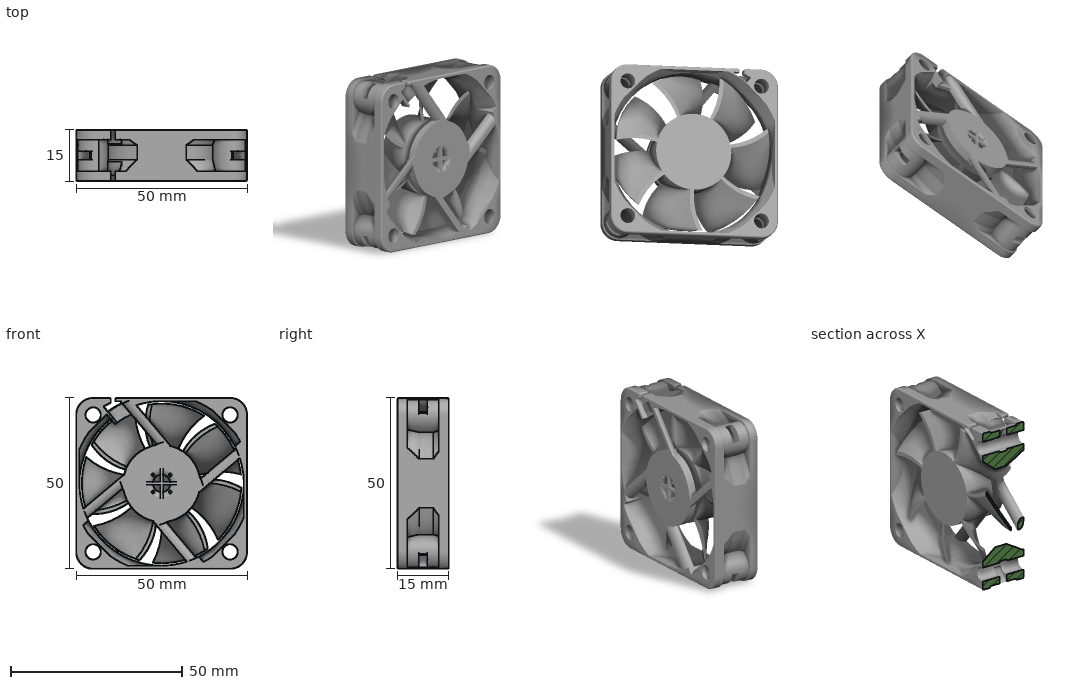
import cadquery as cq
import math

SIDE = 50.0
DEPTH = 15.0
CORNER_RADIUS = 5.0
EDGE_ROUND = 0.5
FRONT = -DEPTH / 2
BACK = DEPTH / 2
REACH = SIDE
QUARTER_TURN = 90.0
CORNER_COUNT = 4
FIRST_CORNER = 45.0

BORE_RADIUS = 24.0
MOUTH_RADIUS = 26.0
TUBE_WALL = 2.0
FRONT_FLARE_START = -1.2
BACK_FLARE_START = 3.0
MOUTH_DIAGONAL_HALF = 25.6

FLANGE_THICKNESS = 2.9
SCREW_OFFSET = 20.0
SCREW_DIAMETER = 4.4
BOSS_RADIUS = 4.5
NOTCH_WIDTH = 5.6
NOTCH_HEIGHT = 2.5
NOTCH_PAST_HOLE = 1.45

PLATE_RADIUS = 11.25
PLATE_THICKNESS = 2.35
STRUT_COUNT = 4
STRUT_ANGLE = 130.0
STRUT_OUTER = 9.05
STRUT_FLAT = 8.15
STRUT_INNER = 6.2
STRUT_SIDE_WALL = 0.4
PLATE_TIP_RADIUS = 12.1
PAD_OFFSET = 5.4
PAD_END = -0.7

GRILLE_RADIUS = 4.3
GRILLE_BORE_RADIUS = 2.55
GRILLE_BAR_WIDTH = 0.9
GRILLE_BAR_DEPTH = 1.1
PEG_COUNT = 4
PEG_SIDE = 0.7
PEG_CIRCLE_RADIUS = 3.55

CHANNEL_OFFSET = 1.45
RIB_THICKNESS = 0.75
CHANNEL_FLOOR_Y = -5.85
CHANNEL_FLOOR_THICKNESS = 1.0
CHANNEL_INNER_RADIUS = 22.0
CHANNEL_START = 20.0
CHANNEL_OUTER_RADIUS = 26.2
SLOT_LEFT = -14.85
SLOT_RIGHT = -13.55
SLOT_BOTTOM = 22.5
CHANNEL_CEILING = 24.0
CHANNEL_SHOULDER = 23.55
CHANNEL_WALL_TOP = 22.45

ROTOR_FRONT = -3.0
ROTOR_BACK = 6.2
HUB_RADIUS = 11.25
ROTOR_RADIUS = 23.35
BLADE_COUNT = 7
BLADE_TWIST = 39.0
BLADE_LEADING = [(10.5, 159.0), (16.75, 157.9), (24.0, 150.3)]
BLADE_TRAILING = [(24.0, 147.6), (16.5, 153.6), (10.5, 154.0)]


def extrude_y(outline, y_start, y_end):
    """Extrude a closed outline drawn in X and Z between two Y levels."""
    return outline.extrude(y_start - y_end).translate((0, y_start, 0))


def sketch():
    return cq.Workplane("XZ")


def cylinder(radius, y_start, y_end):
    return extrude_y(sketch().circle(radius), y_start, y_end)


def polygon(points, y_start, y_end):
    return extrude_y(sketch().polyline(points).close(), y_start, y_end)


def turned(shape, angle):
    """Turn a shape about the fan axis, from +X towards +Z."""
    return shape.rotate((0, 0, 0), (0, 1, 0), -angle)


def polar(radius, angle):
    return (radius * math.cos(math.radians(angle)), radius * math.sin(math.radians(angle)))


def strut_bar(inner, outer, start, end, y_start, y_end):
    """A bar along the first strut: offsets from the axis, then distances along the strut."""
    corners = [(start, -inner), (end, -inner), (end, -outer), (start, -outer)]
    return turned(polygon(corners, y_start, y_end), STRUT_ANGLE)


def along_strut(offset, distance):
    """X and Z of the point at an offset from the first strut's axis line and a distance along it."""
    angle = math.radians(STRUT_ANGLE)
    return (
        offset * math.sin(angle) + distance * math.cos(angle),
        distance * math.sin(angle) - offset * math.cos(angle),
    )


def on_strut_line(offset, height):
    """X and Z of the point at the given Z on a line parallel to the first strut."""
    angle = math.radians(STRUT_ANGLE)
    return ((offset + height * math.cos(angle)) / math.sin(angle), height)


def flared(radius, mouth_radius):
    """Straight tube outline that opens out to both faces."""
    profile = [
        (0, FRONT), (mouth_radius, FRONT), (radius, FRONT_FLARE_START),
        (radius, BACK_FLARE_START), (mouth_radius, BACK), (0, BACK),
    ]
    return cq.Workplane("XY").polyline(profile).close().revolve(360, (0, 0, 0), (0, 1, 0))


def outer_block():
    """Square block with the wire slot in its top side and rounded rims."""
    slot = (
        cq.Workplane("XY")
        .box(SLOT_RIGHT - SLOT_LEFT, DEPTH, SIDE / 2 - SLOT_BOTTOM)
        .translate(((SLOT_LEFT + SLOT_RIGHT) / 2, 0, (SIDE / 2 + SLOT_BOTTOM) / 2))
    )
    block = cq.Workplane("XY").box(SIDE, DEPTH, SIDE).edges("|Y").fillet(CORNER_RADIUS).cut(slot)
    mouth = cq.selectors.BoxSelector(
        (SLOT_LEFT - EDGE_ROUND, FRONT, SIDE / 2 - EDGE_ROUND),
        (SLOT_RIGHT + EDGE_ROUND, BACK, SIDE / 2 + EDGE_ROUND),
    )
    block = block.edges("|Y").edges(mouth).fillet(EDGE_ROUND)
    return block.faces("<Y or >Y").edges().fillet(EDGE_ROUND)


def flange_gap():
    """Space between the flanges, outside the duct tube and the corner bosses."""
    half = BACK - FLANGE_THICKNESS
    gap = cq.Workplane("XY").box(2 * REACH, 2 * half, 2 * REACH)
    gap = gap.cut(flared(BORE_RADIUS + TUBE_WALL, MOUTH_RADIUS + TUBE_WALL))
    screw_distance = SCREW_OFFSET * math.sqrt(2)
    boss = cylinder(BOSS_RADIUS, -half, half).translate((screw_distance, 0, 0))
    web = cq.Workplane("XY").box(screw_distance, 2 * half, 2 * BOSS_RADIUS)
    boss = boss.union(web.translate((screw_distance / 2, 0, 0)))
    for corner in range(CORNER_COUNT):
        gap = gap.cut(turned(boss, FIRST_CORNER + QUARTER_TURN * corner))
    return gap


def flare_pads():
    """Places beside the struts where the front flare is left out."""
    pads = cq.Workplane("XY")
    for index in range(STRUT_COUNT):
        offset = CHANNEL_OFFSET - RIB_THICKNESS if index == 0 else PAD_OFFSET
        pad = polygon(
            [
                (PAD_END, PLATE_RADIUS), along_strut(offset, PLATE_RADIUS),
                along_strut(offset, REACH), (PAD_END, REACH),
            ],
            FRONT, FRONT_FLARE_START,
        )
        pads = pads.add(turned(pad, -QUARTER_TURN * index))
    return pads.combine()


def duct():
    """Air passage: a bore with a flare at each face, trimmed to an eight-sided mouth."""
    mouth = cq.Workplane("XY").box(2 * BORE_RADIUS, DEPTH, 2 * BORE_RADIUS)
    diagonal = cq.Workplane("XY").box(2 * MOUTH_DIAGONAL_HALF, DEPTH, 2 * MOUTH_DIAGONAL_HALF)
    flare = flared(BORE_RADIUS, MOUTH_RADIUS).intersect(mouth).intersect(turned(diagonal, FIRST_CORNER))
    return flare.cut(flare_pads()).union(cylinder(BORE_RADIUS, FRONT, BACK))


def screw_holes():
    holes = sketch().rect(2 * SCREW_OFFSET, 2 * SCREW_OFFSET, forConstruction=True).vertices()
    return extrude_y(holes.circle(SCREW_DIAMETER / 2), FRONT, BACK)


def corner_notch():
    """Notch that opens a screw hole towards the outer corner."""
    start = SCREW_OFFSET * math.sqrt(2) - NOTCH_PAST_HOLE
    return cq.Workplane("XY").box(REACH, NOTCH_HEIGHT, NOTCH_WIDTH).translate((start + REACH / 2, 0, 0))


def motor_plate():
    """Round plate with a pointed tip at each strut."""
    y_end = FRONT + PLATE_THICKNESS
    plate = cylinder(PLATE_RADIUS, FRONT, y_end)
    tip_angle = STRUT_ANGLE - math.degrees(math.asin(STRUT_FLAT / PLATE_TIP_RADIUS))
    tangent_angle = tip_angle + math.degrees(math.acos(PLATE_RADIUS / PLATE_TIP_RADIUS))
    tip = polygon(
        [
            (0, 0), along_strut(STRUT_FLAT, 0),
            polar(PLATE_TIP_RADIUS, tip_angle), polar(PLATE_RADIUS, tangent_angle),
        ],
        FRONT, y_end,
    )
    for index in range(STRUT_COUNT):
        plate = plate.union(turned(tip, -QUARTER_TURN * index))
    return plate


def strut_rounding():
    """Material in front of the rounded inner flank of the first strut."""
    radius = STRUT_FLAT - STRUT_INNER
    corner = strut_bar(STRUT_INNER, STRUT_FLAT, 0, REACH, FRONT, FRONT + radius)
    rod = cq.Workplane("YZ").center(FRONT + radius, -STRUT_FLAT).circle(radius).extrude(REACH)
    return corner.cut(turned(rod, STRUT_ANGLE))


def strut():
    """First strut: a bar with its front inner and back outer corners rounded alike."""
    y_end = FRONT + STRUT_FLAT - STRUT_INNER + STRUT_SIDE_WALL
    bar = strut_bar(STRUT_INNER, STRUT_OUTER, 0, REACH, FRONT, y_end)
    middle_offset = (STRUT_INNER + STRUT_OUTER) / 2
    start = along_strut(middle_offset, 0)
    end = along_strut(middle_offset, REACH)
    y_middle = (FRONT + y_end) / 2
    back_rounding = strut_rounding().rotate(
        (start[0], y_middle, start[1]), (end[0], y_middle, end[1]), 180
    )
    bar = bar.cut(strut_rounding()).cut(back_rounding)
    bar = bar.intersect(cq.Workplane("XY").box(2 * BORE_RADIUS, DEPTH, 2 * BORE_RADIUS))
    return bar.intersect(cylinder(BORE_RADIUS + TUBE_WALL / 2, FRONT, BACK))


def add_struts(frame):
    """Join the motor plate to the duct with the struts; the first one is clear out to the mouth radius."""
    frame = frame.cut(strut_rounding().intersect(cylinder(MOUTH_RADIUS, FRONT, BACK)))
    bar = strut()
    for index in range(STRUT_COUNT):
        frame = frame.union(turned(bar, -QUARTER_TURN * index))
    return frame.union(motor_plate()).clean()


def channel_floor():
    """Floor and side rib of the wire channel."""
    ring = cylinder(MOUTH_RADIUS, FRONT, BACK).cut(cylinder(CHANNEL_INNER_RADIUS, FRONT, BACK))
    bar = strut_bar(
        CHANNEL_OFFSET - RIB_THICKNESS, STRUT_INNER, CHANNEL_START, REACH,
        FRONT, CHANNEL_FLOOR_Y + CHANNEL_FLOOR_THICKNESS,
    )
    return bar.intersect(ring)


def wire_channel():
    """Recess above the channel floor, and the way out through both flanges."""
    outline = [
        (SLOT_LEFT, CHANNEL_SHOULDER),
        on_strut_line(CHANNEL_OFFSET, CHANNEL_WALL_TOP),
        along_strut(CHANNEL_OFFSET, CHANNEL_START),
        along_strut(STRUT_INNER, CHANNEL_START),
        on_strut_line(STRUT_INNER, CHANNEL_CEILING),
        (SLOT_RIGHT, CHANNEL_CEILING),
        (SLOT_RIGHT, CHANNEL_SHOULDER),
    ]
    outside = cylinder(REACH, FRONT, BACK).cut(cylinder(CHANNEL_OUTER_RADIUS, FRONT, BACK))
    recess = polygon(outline, FRONT, CHANNEL_FLOOR_Y)
    passage = polygon(outline, FRONT, BACK).intersect(outside)
    half = BACK - FLANGE_THICKNESS
    boss_trim = strut_bar(CHANNEL_OFFSET, STRUT_INNER, 0, REACH, -half, half)
    boss_trim = boss_trim.cut(flared(BORE_RADIUS + TUBE_WALL, MOUTH_RADIUS + TUBE_WALL))
    return recess, passage, boss_trim


def add_wire_channel(frame):
    frame = frame.union(channel_floor())
    for cutter in wire_channel():
        frame = frame.cut(cutter)
    return frame


def grille_opening():
    """Bore with a rounded entry, crossed by two bars and carrying four small pegs."""
    rounding = GRILLE_RADIUS - GRILLE_BORE_RADIUS
    y_end = FRONT + PLATE_THICKNESS
    arc_middle = polar(rounding, 180 + FIRST_CORNER)
    opening = (
        cq.Workplane("XY")
        .moveTo(0, FRONT)
        .lineTo(GRILLE_RADIUS, FRONT)
        .threePointArc(
            (GRILLE_RADIUS + arc_middle[0], FRONT + rounding + arc_middle[1]),
            (GRILLE_BORE_RADIUS, FRONT + rounding),
        )
        .lineTo(GRILLE_BORE_RADIUS, y_end)
        .lineTo(0, y_end)
        .close()
        .revolve(360, (0, 0, 0), (0, 1, 0))
    )
    bar = extrude_y(sketch().rect(REACH, GRILLE_BAR_WIDTH), FRONT, FRONT + GRILLE_BAR_DEPTH)
    opening = opening.cut(bar).cut(turned(bar, QUARTER_TURN))
    peg = extrude_y(sketch().rect(PEG_SIDE, PEG_SIDE), FRONT, y_end)
    peg = peg.translate((PEG_CIRCLE_RADIUS, 0, 0))
    for index in range(PEG_COUNT):
        opening = opening.cut(turned(peg, FIRST_CORNER + QUARTER_TURN * index))
    return opening


def make_frame():
    frame = outer_block().cut(flange_gap()).cut(duct()).cut(screw_holes())
    for corner in range(CORNER_COUNT):
        frame = frame.cut(turned(corner_notch(), FIRST_CORNER + QUARTER_TURN * corner))
    frame = add_struts(frame)
    frame = add_wire_channel(frame)
    return frame.cut(grille_opening())


def rotor_blade():
    """Curved blade section twisted about the fan axis from front to back."""
    leading = [polar(*point) for point in BLADE_LEADING]
    trailing = [polar(*point) for point in BLADE_TRAILING]
    section = (
        sketch()
        .moveTo(*leading[0])
        .threePointArc(leading[1], leading[2])
        .lineTo(*trailing[0])
        .threePointArc(trailing[1], trailing[2])
        .close()
    )
    blade = section.twistExtrude(ROTOR_FRONT - ROTOR_BACK, BLADE_TWIST).translate((0, ROTOR_FRONT, 0))
    return blade.intersect(cylinder(ROTOR_RADIUS, ROTOR_FRONT, ROTOR_BACK))


def make_rotor():
    rotor = cylinder(HUB_RADIUS, ROTOR_FRONT, ROTOR_BACK)
    blade = rotor_blade()
    for index in range(BLADE_COUNT):
        rotor = rotor.union(turned(blade, 360 / BLADE_COUNT * index))
    return rotor


frame = make_frame()
rotor = make_rotor()
result = cq.Compound.makeCompound([frame.val(), rotor.val()])